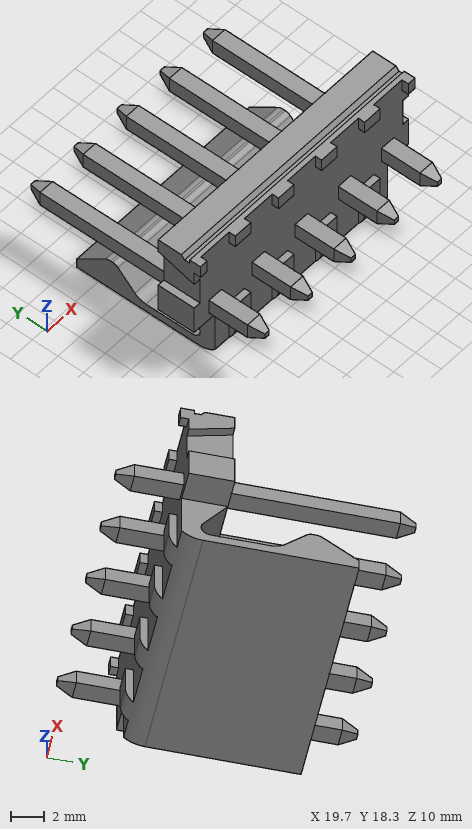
import cadquery as cq
import math


pin_count = 5
pitch = 3.95
pin_side = 1.15
pin_tip_side = 0.4
pin_tip_length = 1.05
pin_front_reach = 4.05
pin_length = 18.28
pin_z = 4.9

wall_width = 19.66
wall_thickness = 2.81
wall_bottom = 3.74
wall_top = 10.0

notch_depth = 0.53
notch_floor = 5.94
notch_roof_front = 8.06
notch_roof_back = 8.96

groove_depth = 0.3
groove_front = 0.35
groove_floor_back = 0.75
groove_back = 1.0

step_out = 0.5
tooth_width = 1.42
tooth_height = 0.95
end_tooth_width = 0.6

arm_width = (pin_count - 1) * pitch
arm_thickness = 0.65
arm_end = 10.81
arm_end_height = 0.73
heel_radius = 1.79
throat_angle = 54.4
throat_radius = 0.6
crest_height = 2.5
crest_back = 8.4
crest_front = 7.77
crest_foot = crest_front - (crest_height - arm_thickness)
crest_back_radius = 0.7
crest_front_radius = 0.59
crest_foot_radius = 1.22

gap_positions = [(i - (pin_count - 2) / 2) * pitch for i in range(pin_count - 1)]
pin_positions = [(i - (pin_count - 1) / 2) * pitch for i in range(pin_count)]


def box_between(x_range, y_range, z_range):
    """Box spanning the given (low, high) ranges."""
    sizes = [high - low for low, high in (x_range, y_range, z_range)]
    corner = (x_range[0], y_range[0], z_range[0])
    return cq.Workplane("XY").box(*sizes, centered=False).translate(corner)


def extrude_profile(points, width, x_center=0):
    """Extrude a closed (y, z) outline along X, centred on x_center."""
    profile = cq.Workplane("YZ", origin=(x_center, 0, 0)).polyline(points).close()
    return profile.extrude(width / 2, both=True)


def round_corner(body, corner, radius):
    """Fillet the edge along X that passes through the (y, z) corner."""
    edge_finder = cq.selectors.NearestToPointSelector((0, *corner))
    return body.edges("|X").edges(edge_finder).fillet(radius)


def make_wall():
    half_width = wall_width / 2
    wall = box_between((-half_width, half_width), (0, wall_thickness), (wall_bottom, wall_top))
    groove_floor = wall_top - groove_depth
    groove = [
        (groove_front, wall_top),
        (groove_front, groove_floor),
        (groove_floor_back, groove_floor),
        (groove_back, wall_top),
    ]
    wall = wall.cut(extrude_profile(groove, wall_width))
    notch = [
        (0, notch_floor),
        (wall_thickness, notch_floor),
        (wall_thickness, notch_roof_back),
        (0, notch_roof_front),
    ]
    for end in (-half_width, half_width):
        wall = wall.cut(extrude_profile(notch, 2 * notch_depth, end))
    return wall


def make_teeth():
    half_width = wall_width / 2
    spans = [(x - tooth_width / 2, x + tooth_width / 2) for x in gap_positions]
    spans.append((-half_width, -half_width + end_tooth_width))
    spans.append((half_width - end_tooth_width, half_width))
    teeth = cq.Workplane("XY")
    for span in spans:
        teeth = teeth.union(box_between(span, (-step_out, 0), (wall_top - tooth_height, wall_top)))
    return teeth


def make_arm():
    """Arm with a full-width heel, trimmed flush with the wall between the ribs."""
    throat_run = (wall_bottom - arm_thickness) / math.tan(math.radians(throat_angle))
    heel = (-step_out, 0)
    throat = (wall_thickness - throat_run, arm_thickness)
    foot = (crest_foot, arm_thickness)
    front_peak = (crest_front, crest_height)
    back_peak = (crest_back, crest_height)
    arm = extrude_profile(
        [
            heel,
            (-step_out, wall_bottom),
            (wall_thickness, wall_bottom),
            throat,
            foot,
            front_peak,
            back_peak,
            (arm_end, arm_end_height),
            (arm_end, 0),
        ],
        arm_width,
    )
    arm = round_corner(arm, heel, heel_radius)
    arm = round_corner(arm, throat, throat_radius)
    arm = round_corner(arm, foot, crest_foot_radius)
    arm = round_corner(arm, front_peak, crest_front_radius)
    arm = round_corner(arm, back_peak, crest_back_radius)

    rib_edges = [x + side * tooth_width / 2 for x in gap_positions for side in (-1, 1)]
    trim_edges = [-arm_width / 2, *rib_edges, arm_width / 2]
    for span in zip(trim_edges[::2], trim_edges[1::2]):
        arm = arm.cut(box_between(span, (-step_out, 0), (0, wall_bottom)))
    return arm


def make_pin(x):
    """Square pin along Y with a tapered tip at each end."""
    front_shoulder = pin_tip_length - pin_front_reach
    shank_length = pin_length - 2 * pin_tip_length
    back_shoulder = front_shoulder + shank_length

    def tip(shoulder, direction):
        plane = cq.Plane(origin=(x, shoulder, pin_z), xDir=(1, 0, 0), normal=(0, direction, 0))
        base = cq.Workplane(plane).rect(pin_side, pin_side)
        end = base.workplane(offset=pin_tip_length).rect(pin_tip_side, pin_tip_side)
        return end.loft(ruled=True)

    half_side = pin_side / 2
    shank = box_between(
        (x - half_side, x + half_side),
        (front_shoulder, back_shoulder),
        (pin_z - half_side, pin_z + half_side),
    )
    return shank.union(tip(front_shoulder, -1)).union(tip(back_shoulder, 1))


header = make_wall().union(make_teeth()).union(make_arm())
for pin_x in pin_positions:
    header = header.union(make_pin(pin_x))

result = header